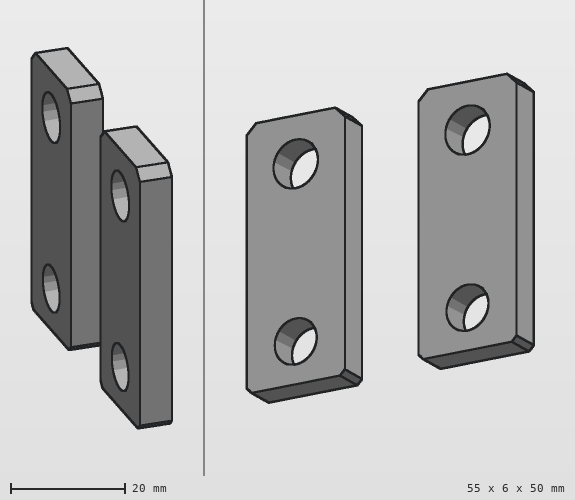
import cadquery as cq

total_width = 55.0
plate_width = 20.0
plate_thickness = 6.0
plate_height = 50.0

top_chamfer = 2.0
bottom_chamfer = 1.0

upper_hole_diameter = 9.0
upper_hole_from_top = 9.0
lower_hole_diameter = 8.5
lower_hole_from_bottom = 8.0

plate_spacing = total_width - plate_width


def drill(plate, height, diameter):
    """Cut a hole along Y through the plate, on its vertical centre line."""
    hole = (
        cq.Workplane("XZ")
        .center(0, height)
        .circle(diameter / 2)
        .extrude(plate_thickness / 2, both=True)
    )
    return plate.cut(hole)


def make_plate(x_center):
    """Upright plate with chamfered corners and two holes, standing on Z = 0."""
    plate = cq.Workplane("XY").box(
        plate_width, plate_thickness, plate_height, centered=(True, True, False)
    )
    plate = plate.faces(">Z").edges("|Y").chamfer(top_chamfer)
    plate = plate.faces("<Z").edges("|Y").chamfer(bottom_chamfer)
    plate = drill(plate, plate_height - upper_hole_from_top, upper_hole_diameter)
    plate = drill(plate, lower_hole_from_bottom, lower_hole_diameter)
    return plate.translate((x_center, 0, 0))


plates = []
for side in (-1, 1):
    plates.append(make_plate(side * plate_spacing / 2).val())

result = cq.Compound.makeCompound([solid for plate in plates for solid in plate.Solids()])